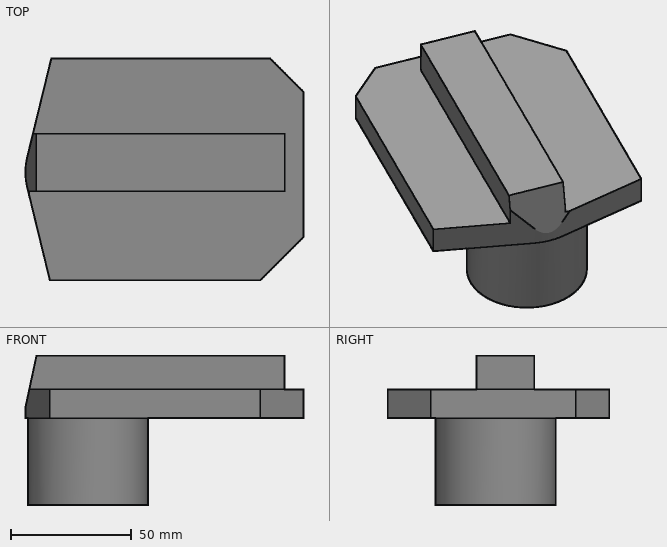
import cadquery as cq
import math

post_diameter = 50.0
post_height = 36.0

plate_thickness = 12.0
nose_radius = 26.0
nose_taper = 13.7
plate_length = 115.5
plate_width = 92.0
right_x = plate_length - nose_radius
back_y = 47.2
front_y = back_y - plate_width
back_chamfer = 14.0
front_chamfer = 18.0

rib_height = 14.0
rib_back_y = 16.0
rib_width = 24.0
rib_end_x = 81.5

bevel_run = 4.6
bevel_drop = 21.6

top_z = plate_thickness + rib_height
taper = math.radians(nose_taper)
tangent_x = -nose_radius * math.cos(taper)
tangent_y = nose_radius * math.sin(taper)


def taper_x(y):
    """X of the tapered side, tangent to the nose, at the given Y."""
    return -(nose_radius - abs(y) * math.sin(taper)) / math.cos(taper)


def outline_prism(height):
    """Plate outline extruded up from the plate underside."""
    return (
        cq.Workplane("XY")
        .moveTo(tangent_x, tangent_y)
        .lineTo(taper_x(back_y), back_y)
        .lineTo(right_x - back_chamfer, back_y)
        .lineTo(right_x, back_y - back_chamfer)
        .lineTo(right_x, front_y + front_chamfer)
        .lineTo(right_x - front_chamfer, front_y)
        .lineTo(taper_x(front_y), front_y)
        .lineTo(tangent_x, -tangent_y)
        .threePointArc((-nose_radius, 0), (tangent_x, tangent_y))
        .close()
        .extrude(height)
    )


def make_rib():
    """Straight rib whose nose end follows the plate outline."""
    bar = cq.Workplane("XY").box(
        rib_end_x + nose_radius, rib_width, top_z, centered=False
    ).translate((-nose_radius, rib_back_y - rib_width, 0))
    return bar.intersect(outline_prism(top_z))


def bevel_cutter():
    """Wedge that removes the upper corner of the nose."""
    return (
        cq.Workplane("XZ")
        .moveTo(-nose_radius, top_z - bevel_drop)
        .lineTo(-nose_radius + bevel_run, top_z)
        .lineTo(-nose_radius, top_z)
        .close()
        .extrude(plate_width, both=True)
    )


post = cq.Workplane("XY").circle(post_diameter / 2).extrude(-post_height)
plate = outline_prism(plate_thickness)

result = plate.union(make_rib()).cut(bevel_cutter()).union(post)